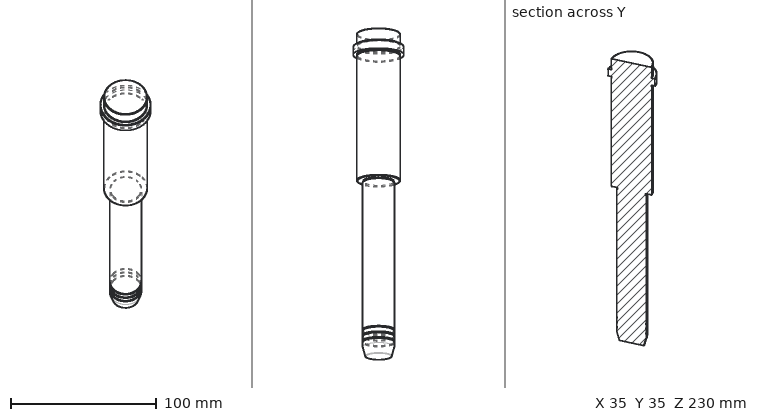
import math

import cadquery as cq

total_length = 230.0
pin_length = 125.0
head_length = 9.0
collar_thickness = 6.0

body_diameter = 30.0
collar_diameter = 35.0
pin_diameter = 22.0

body_chamfer = 0.5
collar_chamfer = 0.5

undercut_width = 1.0
undercut_depth = 0.35

neck_length = 1.0
neck_depth = 0.5

taper_length = 7.0
taper_angle = 15.0
tip_fillet = 0.5

groove_count = 3
groove_width = 1.0
groove_depth = 0.35
groove_spacing = 3.0

collar_top = total_length - head_length
collar_bottom = collar_top - collar_thickness
pin_radius = pin_diameter / 2
neck_radius = pin_radius - neck_depth
tip_radius = pin_radius - taper_length * math.tan(math.radians(taper_angle))


def cylinder(diameter, bottom, top):
    """Solid cylinder on the Z axis between two heights."""
    return cq.Workplane("XY").workplane(offset=bottom).circle(diameter / 2).extrude(top - bottom)


def revolved(profile):
    """Solid of revolution about Z from (radius, height) points."""
    return cq.Workplane("XZ").polyline(profile).close().revolve(360, (0, 0, 0), (0, 1, 0))


def groove_cutter(diameter, bottom, width, depth):
    """Ring that cuts a flat-bottomed groove with 45 degree flanks into a cylinder."""
    radius = diameter / 2
    top = bottom + width
    return revolved([
        (radius, bottom),
        (radius - depth, bottom + depth),
        (radius - depth, top - depth),
        (radius, top),
    ])


def make_body():
    """Large cylinder, chamfered at both ends, with an undercut on each side of the collar."""
    body = cylinder(body_diameter, pin_length, total_length)
    body = body.faces("<Z or >Z").chamfer(body_chamfer)
    for bottom in (collar_top, collar_bottom - undercut_width):
        body = body.cut(groove_cutter(body_diameter, bottom, undercut_width, undercut_depth))
    return body


def make_collar():
    collar = cylinder(collar_diameter, collar_bottom, collar_top)
    return collar.faces(">Z").chamfer(collar_chamfer)


def make_pin():
    """Guide pin with a rounded, tapered tip, lubrication grooves and a relief under the body."""
    pin = revolved([
        (0, 0),
        (tip_radius, 0),
        (pin_radius, taper_length),
        (pin_radius, pin_length - neck_length),
        (neck_radius, pin_length - neck_length),
        (neck_radius, pin_length),
        (0, pin_length),
    ])
    pin = pin.faces("<Z").edges().fillet(tip_fillet)
    for i in range(groove_count):
        bottom = taper_length + groove_spacing + i * (groove_spacing + groove_width)
        pin = pin.cut(groove_cutter(pin_diameter, bottom, groove_width, groove_depth))
    return pin


result = make_body().union(make_collar()).union(make_pin())